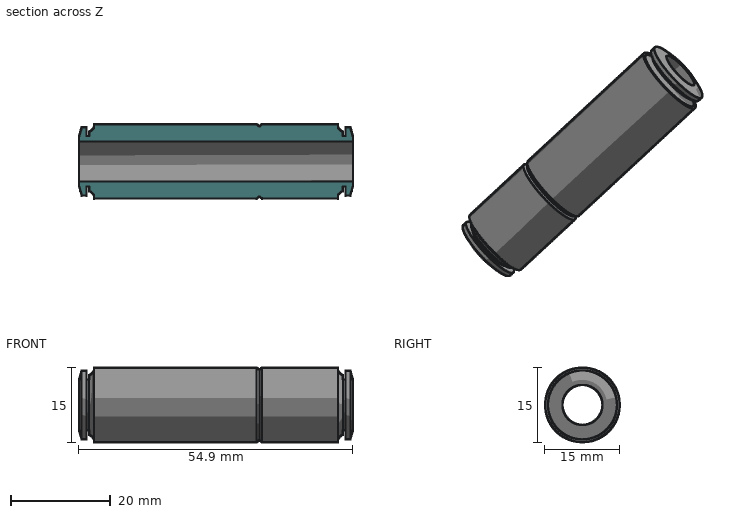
import cadquery as cq

length = 54.9
body_radius = 15.0 / 2
bore_radius = 7.95 / 2

flange_radius = 13.8 / 2
neck_radius = 5.1
end_face_radius = 9.95 / 2
bevel_length = 0.55
flange_length = 1.55

collar_start = 2.05
collar_middle = 2.5
body_start = 3.0
collar_tip_radius = 6.0
collar_middle_radius = 6.25
collar_base_radius = 6.9

groove_center = 36.1
groove_width = 1.05
groove_depth = 0.45

near_base = (body_start, collar_base_radius)
near_middle = (collar_middle, collar_middle_radius)
near_tip = (collar_start, collar_tip_radius)
far_base = (length - body_start, collar_base_radius)
far_middle = (length - collar_middle, collar_middle_radius)
far_tip = (length - collar_start, collar_tip_radius)

wall_section = (
    cq.Workplane("XY")
    .moveTo(0, bore_radius)
    .lineTo(0, end_face_radius)
    .lineTo(bevel_length, flange_radius)
    .lineTo(flange_length, flange_radius)
    .lineTo(flange_length, neck_radius)
    .lineTo(collar_start, neck_radius)
    .lineTo(*near_tip)
    .threePointArc(near_middle, near_base)
    .lineTo(body_start, body_radius)
    .lineTo(groove_center - groove_width / 2, body_radius)
    .lineTo(groove_center, body_radius - groove_depth)
    .lineTo(groove_center + groove_width / 2, body_radius)
    .lineTo(length - body_start, body_radius)
    .lineTo(*far_base)
    .threePointArc(far_middle, far_tip)
    .lineTo(length - collar_start, neck_radius)
    .lineTo(length - flange_length, neck_radius)
    .lineTo(length - flange_length, flange_radius)
    .lineTo(length - bevel_length, flange_radius)
    .lineTo(length, end_face_radius)
    .lineTo(length, bore_radius)
    .close()
)
turned_part = wall_section.revolve(360, (0, 0, 0), (1, 0, 0))

result = turned_part.translate((-length / 2, 0, 0))